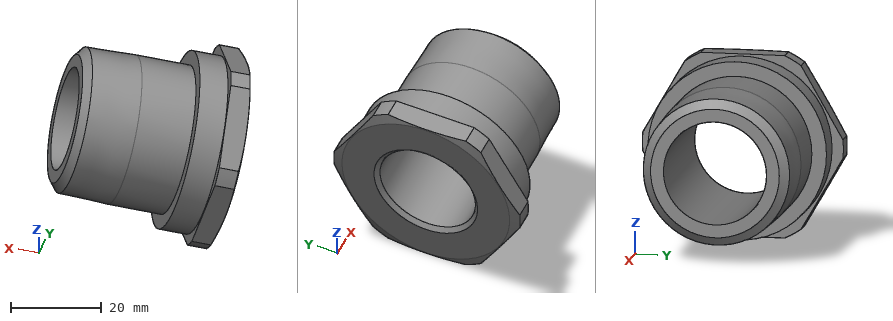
import cadquery as cq

hex_end = 5.0
collar_end = 11.4
straight_end = 23.7
taper_end = 34.95
total_length = 36.6

across_flats = 41.0
across_corners = 45.1
face_diameter = 40.55
collar_diameter = 40.05
body_diameter = 33.5
taper_diameter = 32.8
tip_diameter = 28.85
bore_diameter = 23.1
bore_mouth_diameter = 25.05

hex_chamfer_length = 0.65
bore_chamfer = (bore_mouth_diameter - bore_diameter) / 2


def revolve_profile(points):
    """Revolve (x, radius) points around the X axis."""
    return cq.Workplane("XY").polyline(points).close().revolve(360, (0, 0, 0), (1, 0, 0))


def hex_head():
    """Hexagon with flats facing +Z and -Z and corners turned down to a cylinder."""
    prism = (
        cq.Workplane("YZ")
        .transformed(rotate=(0, 0, 90))
        .polygon(6, across_flats, circumscribed=True)
        .extrude(hex_end)
    )
    turned_blank = revolve_profile([
        (0, 0),
        (0, face_diameter / 2),
        (hex_chamfer_length, across_corners / 2),
        (hex_end, across_corners / 2),
        (hex_end, 0),
    ])
    return prism.intersect(turned_blank)


def shank():
    """Collar, straight body, slight taper and chamfered tip."""
    return revolve_profile([
        (hex_end, 0),
        (hex_end, collar_diameter / 2),
        (collar_end, collar_diameter / 2),
        (collar_end, body_diameter / 2),
        (straight_end, body_diameter / 2),
        (taper_end, taper_diameter / 2),
        (total_length, tip_diameter / 2),
        (total_length, 0),
    ])


def bore():
    """Through bore with a chamfered mouth in the hexagon face."""
    return revolve_profile([
        (0, 0),
        (0, bore_mouth_diameter / 2),
        (bore_chamfer, bore_diameter / 2),
        (total_length, bore_diameter / 2),
        (total_length, 0),
    ])


result = hex_head().union(shank()).cut(bore())